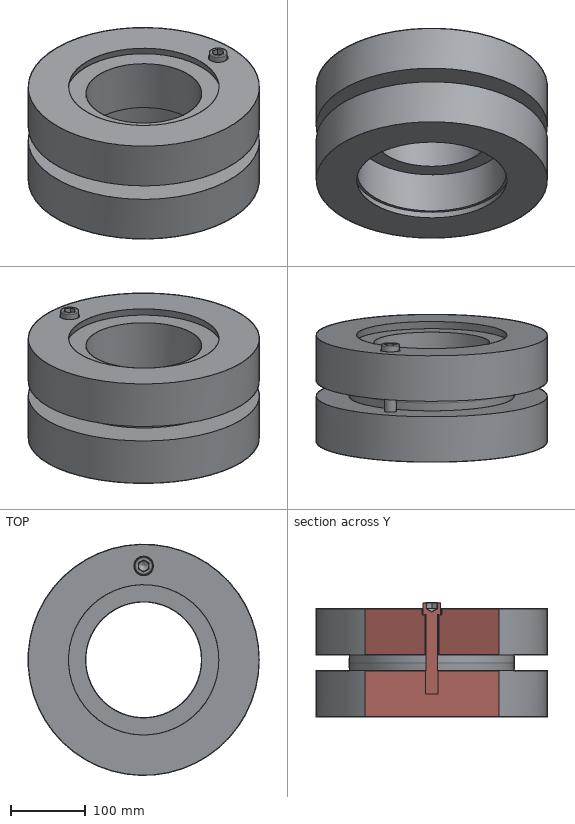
import cadquery as cq
import math

ring_diameter = 310.0
ring_height = 62.0
ring_gap = 21.0
stack_height = 2 * ring_height + ring_gap
mid_height = stack_height / 2
upper_ring_base = ring_height + ring_gap

equator_radius = 111.0
socket_rim_radius = 100.8
sleeve_recess = 10.2
sleeve_base = sleeve_recess
sleeve_top = stack_height - sleeve_recess
bore_diameter = 155.0
bore_length = 68.5
relief_diameter = 200.0
barrel_sag = equator_radius - socket_rim_radius
barrel_arc_radius = (mid_height**2 + barrel_sag**2) / (2 * barrel_sag)

screw_y = 126.0
shank_diameter = 16.0
clearance_diameter = 18.0
thread_depth = 31.0
head_diameter = 24.0
head_height = 16.0
head_protrusion = 8.0
head_fillet = 1.2
counterbore_diameter = 26.0
hex_across_flats = 14.0
hex_depth = 8.0
hex_cone_height = 4.0
head_top = stack_height + head_protrusion
head_seat = head_top - head_height
screw_tip = ring_height - thread_depth


def cylinder(diameter, bottom, top, y=0.0):
    return cq.Workplane("XY", origin=(0, y, bottom)).circle(diameter / 2).extrude(top - bottom)


def barrel_radius(z):
    """Radius of the barrel surface at height z."""
    offset = z - mid_height
    arc_center = equator_radius - barrel_arc_radius
    return arc_center + math.sqrt(barrel_arc_radius**2 - offset**2)


def make_barrel(bottom, top):
    """Solid of revolution whose two arcs meet at the equator."""
    lower_middle = (bottom + mid_height) / 2
    upper_middle = (mid_height + top) / 2
    return (
        cq.Workplane("XZ")
        .moveTo(0, bottom)
        .lineTo(barrel_radius(bottom), bottom)
        .threePointArc((barrel_radius(lower_middle), lower_middle), (equator_radius, mid_height))
        .threePointArc((barrel_radius(upper_middle), upper_middle), (barrel_radius(top), top))
        .lineTo(0, top)
        .close()
        .revolve(360, (0, 0, 0), (0, 1, 0))
    )


def make_ring(base):
    """Plain ring with the barrel-shaped socket through it."""
    return cylinder(ring_diameter, base, base + ring_height).cut(make_barrel(0, stack_height))


def make_lower_ring():
    screw_hole = cylinder(shank_diameter, screw_tip, ring_height, screw_y)
    return make_ring(0).cut(screw_hole)


def make_upper_ring():
    clearance_hole = cylinder(clearance_diameter, upper_ring_base, stack_height, screw_y)
    counterbore = cylinder(counterbore_diameter, head_seat, stack_height, screw_y)
    return make_ring(upper_ring_base).cut(clearance_hole).cut(counterbore)


def make_sleeve():
    """Barrel with a bore that widens below its upper half."""
    relief_top = sleeve_top - bore_length
    bore = cylinder(bore_diameter, relief_top, sleeve_top)
    relief = cylinder(relief_diameter, sleeve_base, relief_top)
    return make_barrel(sleeve_base, sleeve_top).cut(bore).cut(relief)


def make_screw():
    shank = cylinder(shank_diameter, screw_tip, head_seat, screw_y)
    head = cylinder(head_diameter, head_seat, head_top, screw_y).faces(">Z").edges().fillet(head_fillet)
    across_corners = hex_across_flats / math.cos(math.pi / 6)
    socket_floor = head_top - hex_depth
    hex_socket = (
        cq.Workplane("XY", origin=(0, screw_y, socket_floor))
        .transformed(rotate=(0, 0, 90))
        .polygon(6, across_corners)
        .extrude(hex_depth)
    )
    cone = cq.Workplane(
        cq.Solid.makeCone(
            hex_across_flats / 2, 0, hex_cone_height, cq.Vector(0, screw_y, socket_floor), cq.Vector(0, 0, -1)
        )
    )
    return shank.union(head).cut(hex_socket).cut(cone)


lower_ring = make_lower_ring()
upper_ring = make_upper_ring()
sleeve = make_sleeve()
screw = make_screw()

result = cq.Compound.makeCompound([lower_ring.val(), upper_ring.val(), sleeve.val(), screw.val()])